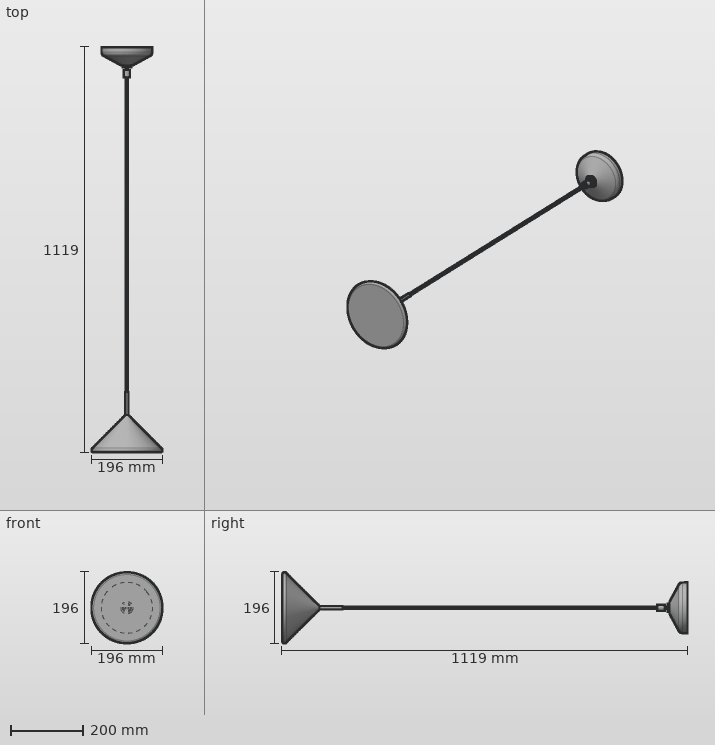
import cadquery as cq

total_length = 1119.0

canopy_radius = 70.0
canopy_drum_length = 21.0
canopy_length = 50.0
canopy_tip_radius = 17.0
canopy_shoulder_fillet = 12.0

spigot_radius = 10.0
collar_radius = 12.0
collar_start = 54.0
collar_end = 56.0

cable_radius = 3.0
gland_radius = 9.0
gland_start = 63.0
gland_end = 84.0
stem_radius = 5.0
stem_start = 952.0

shade_start = 1016.0
shade_radius = 98.0
shade_face_radius = 92.0
cone_base_radius = 95.0
rim_length = 12.0
rim_bulge_offset = 6.0


def cylinder(radius, start, end):
    """Cylinder on the lamp axis between two distances from the canopy back."""
    return cq.Workplane("XZ", origin=(0, -start, 0)).circle(radius).extrude(end - start)


def revolve_about_y(profile):
    return profile.close().revolve(360, (0, 0, 0), (0, 1, 0))


def make_canopy():
    profile = (
        cq.Workplane("XY")
        .lineTo(canopy_radius, 0)
        .lineTo(canopy_radius, -canopy_drum_length)
        .lineTo(canopy_tip_radius, -canopy_length)
        .lineTo(0, -canopy_length)
    )
    shoulder = cq.selectors.NearestToPointSelector((0, -canopy_drum_length, 0))
    return revolve_about_y(profile).edges("%CIRCLE").edges(shoulder).fillet(canopy_shoulder_fillet)


def make_shade():
    rim_start = total_length - rim_length
    profile = (
        cq.Workplane("XY")
        .moveTo(0, -shade_start)
        .lineTo(stem_radius, -shade_start)
        .lineTo(cone_base_radius, -rim_start)
        .threePointArc((shade_radius, -rim_start - rim_bulge_offset), (shade_face_radius, -total_length))
        .lineTo(0, -total_length)
    )
    return revolve_about_y(profile)


spigot = cylinder(spigot_radius, canopy_length, collar_start)
collar = cylinder(collar_radius, collar_start, collar_end)
cable = cylinder(cable_radius, collar_end, shade_start)
gland = cylinder(gland_radius, gland_start, gland_end)
stem = cylinder(stem_radius, stem_start, shade_start)

result = make_canopy()
for piece in (spigot, collar, gland, cable, stem, make_shade()):
    result = result.union(piece)